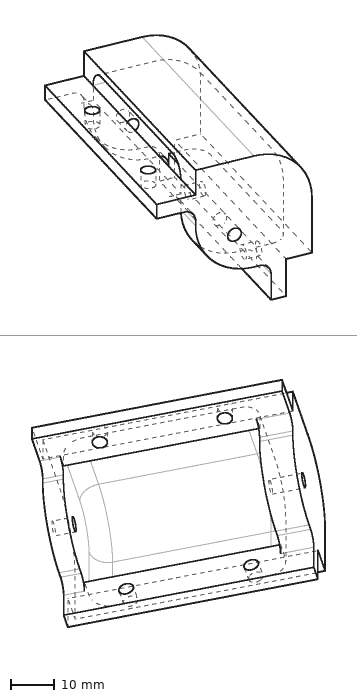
import cadquery as cq
import math

length = 60.0
outer = 40.0
body = 30.0
round_radius = 15.0
shell = 2.0
near_wall = 5.0
far_wall = 8.0
cavity_fillet = 4.5
flange_inset = 6.65
flange_thickness = 3.9
flange_fillet = 3.0
hole_diameter = 3.5
flange_hole_inset = 5.0
flange_hole_spacing = 30.0
pivot_inset = 20.0

low = outer - body
round_center = outer - round_radius
front_round_center = low + round_radius
flange_outer = outer - flange_inset
flange_inner = flange_outer - flange_thickness
cavity_length = length - near_wall - far_wall
diagonal = math.sqrt(0.5)


def section():
    """Start a section in the YZ plane, to be extruded along +X."""
    return cq.Workplane("YZ")


def on_arc(center, radius):
    """Position of the 45 degree point of an arc; the same along Y and Z."""
    return center + radius * diagonal


def make_housing():
    back_mid = on_arc(round_center, round_radius)
    front_mid = on_arc(front_round_center, -round_radius)
    return (
        section()
        .moveTo(low, outer)
        .lineTo(round_center, outer)
        .threePointArc((back_mid, back_mid), (outer, round_center))
        .lineTo(outer, low)
        .lineTo(front_round_center, low)
        .threePointArc((front_mid, front_mid), (low, front_round_center))
        .close()
        .extrude(length)
    )


def make_cavity():
    """Cavity open to the front and bottom, with rounded ends."""
    inner = outer - shell
    inner_mid = on_arc(round_center, round_radius - shell)
    start = low - body
    blank = (
        section()
        .moveTo(start, inner)
        .lineTo(round_center, inner)
        .threePointArc((inner_mid, inner_mid), (inner, round_center))
        .lineTo(inner, start)
        .lineTo(start, start)
        .close()
        .extrude(cavity_length)
    )
    rim = [
        edge
        for face in blank.faces("<X or >X").vals()
        for edge in face.Edges()
        if max(edge.Center().y, edge.Center().z) > round_center
    ]
    blank = blank.newObject(rim).fillet(cavity_fillet)
    opening = cq.Workplane("XY").box(length, body, body, centered=False).translate((0, low, low))
    return blank.translate((near_wall, 0, 0)).intersect(opening)


def make_flanges():
    front = section().moveTo(0, flange_inner).rect(low, flange_thickness, centered=False)
    bottom = section().moveTo(flange_inner, 0).rect(flange_thickness, low, centered=False)
    return front.extrude(length).union(bottom.extrude(length))


def make_fillet_pair(start, width):
    """Concave fillets joining both flanges to one end wall."""
    tip = low - flange_fillet
    root = flange_inner - flange_fillet
    mid_y = on_arc(tip, flange_fillet)
    mid_z = on_arc(root, flange_fillet)
    front = (
        section().moveTo(low, flange_inner).lineTo(tip, flange_inner)
        .threePointArc((mid_y, mid_z), (low, root)).close().extrude(width)
    )
    bottom = (
        section().moveTo(flange_inner, low).lineTo(flange_inner, tip)
        .threePointArc((mid_z, mid_y), (root, low)).close().extrude(width)
    )
    return front.union(bottom).translate((start, 0, 0))


def drill_holes(part):
    pivot = outer - pivot_inset
    part = part.cut(section().center(pivot, pivot).circle(hole_diameter / 2).extrude(length))
    for x in ((length - flange_hole_spacing) / 2, (length + flange_hole_spacing) / 2):
        vertical = (
            cq.Workplane("XY").center(x, flange_hole_inset)
            .circle(hole_diameter / 2).extrude(outer)
        )
        horizontal = (
            cq.Workplane("XZ").center(x, flange_hole_inset)
            .circle(hole_diameter / 2).extrude(-outer)
        )
        part = part.cut(vertical).cut(horizontal)
    return part


housing = make_housing().cut(make_cavity()).union(make_flanges())
housing = housing.union(make_fillet_pair(0, near_wall))
housing = housing.union(make_fillet_pair(length - far_wall, far_wall))
result = drill_holes(housing)